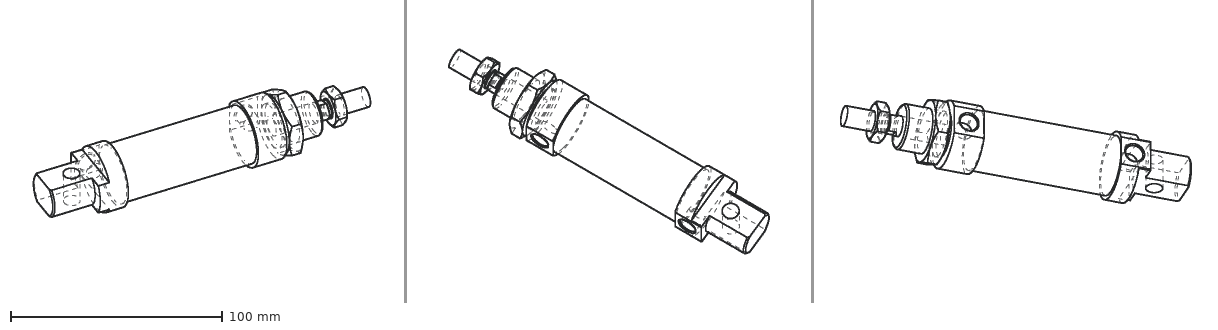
import cadquery as cq
import math


total_length = 171.0
pivot_hole_y = 15.0
rear_cap_start = 22.0
rear_step_y = 27.9
rear_port_y = 30.1
rear_cap_end = 37.0
front_cap_start = 105.8
front_cap_end = 120.9
front_port_y = (front_cap_start + front_cap_end) / 2
mount_nut_start = 123.0
nose_end = 143.1
neck_start = 149.3
neck_end = 150.7
rod_nut_start = 151.0

cap_diameter = 33.0
tube_diameter = 29.0
nose_diameter = 22.0
nose_chamfer = 0.77
nose_chamfer_length = 1.0
tongue_thickness = 16.0
pivot_hole_diameter = 8.0
port_flat_offset = 14.7
port_diameter = 8.7
port_mouth_diameter = 10.0
port_depth = 8.5

rod_diameter = 10.0
neck_diameter = 8.5
rod_seat_depth = nose_end - front_cap_end
flat_width = 8.0
flat_length = 3.8
flat_turn = 17.0

mount_nut_flats = 30.1
mount_nut_thickness = 7.4
mount_nut_face_diameter = 30.0
mount_nut_bevel = 1.4
rod_nut_flats = 17.0
rod_nut_thickness = 6.0
rod_nut_face_diameter = 16.6
rod_nut_bevel = 0.9
rod_nut_turn = -1.0


def cylinder(diameter, start, end):
    """Cylinder on the Y axis between two stations."""
    plane = cq.Plane(origin=(0, start, 0), xDir=(1, 0, 0), normal=(0, 1, 0))
    return cq.Workplane(plane).circle(diameter / 2).extrude(end - start)


def port(station):
    """Chamfered blind port, entering from the flat on the -X side."""
    plane = cq.Plane(origin=(-port_flat_offset, station, 0), xDir=(0, 1, 0), normal=(1, 0, 0))
    bore = cq.Workplane(plane).circle(port_diameter / 2).extrude(port_depth)
    mouth_depth = (port_mouth_diameter - port_diameter) / 2
    mouth = cq.Workplane(plane).circle(port_mouth_diameter / 2).extrude(mouth_depth, taper=45)
    return bore.union(mouth)


def make_cap(start, end):
    """Round end cap with a flat on the -X side for the port."""
    stock = cq.Workplane("XY").box(cap_diameter, end - start, cap_diameter)
    stock = stock.translate((cap_diameter / 2 - port_flat_offset, (start + end) / 2, 0))
    return cylinder(cap_diameter, start, end).intersect(stock)


def make_rear_end():
    """Rear cap narrowing to a flat-sided pivot tongue."""
    tongue = cylinder(nose_diameter, 0, rear_cap_start).faces("<Y").chamfer(nose_chamfer)
    narrow_part = tongue.union(make_cap(rear_cap_start, rear_step_y))
    slab = cq.Workplane("XY").box(cap_diameter, rear_step_y, tongue_thickness)
    slab = slab.translate((0, rear_step_y / 2, 0))
    pivot_hole = cq.Workplane("XY").center(0, pivot_hole_y).circle(pivot_hole_diameter / 2)
    pivot_hole = pivot_hole.extrude(tongue_thickness / 2, both=True)
    rear_end = make_cap(rear_step_y, rear_cap_end).union(narrow_part.intersect(slab))
    return rear_end.cut(pivot_hole)


def make_housing():
    """Rear end, tube, front cap and nose, with ports and a seat for the rod."""
    nose = cylinder(nose_diameter, front_cap_end, nose_end).faces(">Y")
    nose = nose.chamfer(nose_chamfer_length, nose_chamfer)
    housing = make_rear_end().union(cylinder(tube_diameter, rear_cap_end, front_cap_start))
    housing = housing.union(make_cap(front_cap_start, front_cap_end)).union(nose)
    for station in (rear_port_y, front_port_y):
        housing = housing.cut(port(station))
    return housing.cut(cylinder(rod_diameter, nose_end - rod_seat_depth, nose_end))


def flat_cutter():
    """Cutter for one wrench flat facing +Z, with a 45 degree run-out toward -Y."""
    rise = rod_diameter - flat_width
    flat_start = neck_start - flat_length
    profile = [
        (flat_start, flat_width / 2),
        (neck_start, flat_width / 2),
        (neck_start, flat_width / 2 + rise),
        (flat_start - rise, flat_width / 2 + rise),
    ]
    return cq.Workplane("YZ").polyline(profile).close().extrude(rod_diameter, both=True)


def make_rod():
    """Piston rod with a neck and two opposite wrench flats below the thread."""
    rod = cylinder(rod_diameter, nose_end - rod_seat_depth, neck_start)
    for half_turn in (0, 180):
        cutter = flat_cutter().rotate((0, 0, 0), (0, 1, 0), half_turn - flat_turn)
        rod = rod.cut(cutter)
    rod = rod.union(cylinder(neck_diameter, neck_start, neck_end))
    return rod.union(cylinder(rod_diameter, neck_end, total_length))


def make_nut(start, thickness, flats, bore, face_diameter, bevel, turn):
    """Hex nut on the Y axis, corners beveled on both faces; zero turn puts corners on X."""
    corner_diameter = flats / math.cos(math.radians(30))
    corner_radius = corner_diameter / 2
    face_radius = face_diameter / 2
    end = start + thickness
    plane = cq.Plane(origin=(0, start, 0), xDir=(1, 0, 0), normal=(0, 1, 0))
    blank = cq.Workplane(plane).polygon(6, corner_diameter).extrude(thickness)
    blank = blank.rotate((0, 0, 0), (0, 1, 0), -turn)
    profile = [
        (0, start),
        (face_radius, start),
        (corner_radius, start + bevel),
        (corner_radius, end - bevel),
        (face_radius, end),
        (0, end),
    ]
    envelope = cq.Workplane("XY").polyline(profile).close().revolve(360, (0, 0, 0), (0, 1, 0))
    return blank.intersect(envelope).cut(cylinder(bore, start, end))


housing = make_housing()
rod = make_rod()
mount_nut = make_nut(
    mount_nut_start, mount_nut_thickness, mount_nut_flats, nose_diameter,
    mount_nut_face_diameter, mount_nut_bevel, turn=30,
)
rod_nut = make_nut(
    rod_nut_start, rod_nut_thickness, rod_nut_flats, rod_diameter,
    rod_nut_face_diameter, rod_nut_bevel, rod_nut_turn,
)

result = cq.Compound.makeCompound([housing.val(), rod.val(), mount_nut.val(), rod_nut.val()])